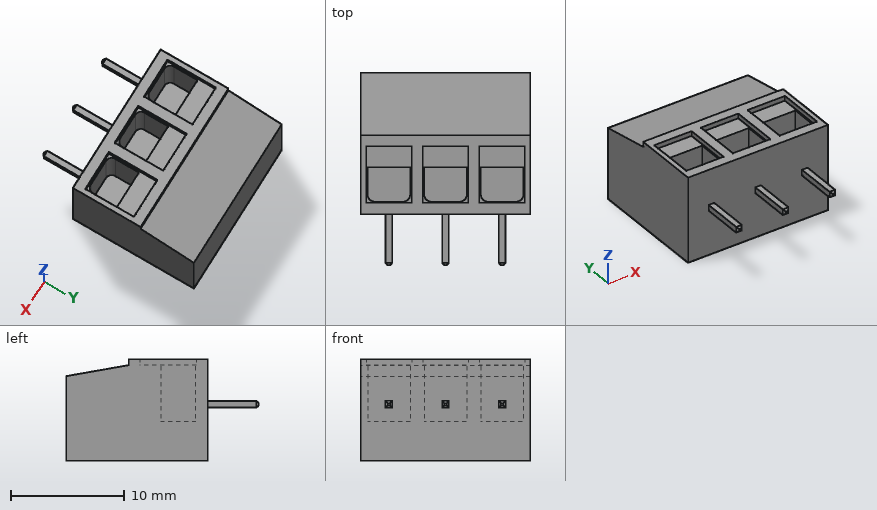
import cadquery as cq
import math

POLES = 3
PITCH = 5.0
BODY_WIDTH = POLES * PITCH
BODY_DEPTH = 12.5
BODY_HEIGHT = 9.0
TERRACE_DEPTH = 7.0
REAR_HEIGHT = 7.5
SLOPE_ANGLE = 10.0

RECESS_WIDTH = 4.0
RECESS_LENGTH = 5.0
RECESS_DEPTH = 0.5
RECESS_FRONT = (TERRACE_DEPTH - RECESS_LENGTH) / 2

OPENING_WIDTH = 3.75
OPENING_LENGTH = 3.05
OPENING_DEPTH = 5.0
OPENING_GAP = (RECESS_WIDTH - OPENING_WIDTH) / 2
OPENING_RADIUS = 0.6

PIN_SIZE = 0.6
PIN_LENGTH = 4.5
PIN_HEIGHT = 5.0
PIN_TIP = 0.2

pole_centers = [(i + 0.5) * PITCH for i in range(POLES)]


def make_housing():
    slope_run = BODY_DEPTH - TERRACE_DEPTH
    slope_top = REAR_HEIGHT + slope_run * math.tan(math.radians(SLOPE_ANGLE))
    side_profile = [
        (0, 0),
        (BODY_DEPTH, 0),
        (BODY_DEPTH, REAR_HEIGHT),
        (TERRACE_DEPTH, slope_top),
        (TERRACE_DEPTH, BODY_HEIGHT),
        (0, BODY_HEIGHT),
    ]
    return cq.Workplane("YZ").polyline(side_profile).close().extrude(BODY_WIDTH)


def pocket(x_center, y_front, z_top, width, length, depth):
    """Box reaching down from z_top, centred on x_center and starting at y_front."""
    block = cq.Workplane("XY").box(width, length, depth, centered=(True, False, False))
    return block.translate((x_center, y_front, z_top - depth))


def make_wire_entry(x_center):
    recess = pocket(x_center, RECESS_FRONT, BODY_HEIGHT, RECESS_WIDTH, RECESS_LENGTH, RECESS_DEPTH)
    opening = pocket(
        x_center,
        RECESS_FRONT + OPENING_GAP,
        BODY_HEIGHT - RECESS_DEPTH,
        OPENING_WIDTH,
        OPENING_LENGTH,
        OPENING_DEPTH,
    )
    opening = opening.faces("<Y").edges("|Z").fillet(OPENING_RADIUS)
    return recess.union(opening)


def make_pin(x_center):
    pin = cq.Workplane("XZ").rect(PIN_SIZE, PIN_SIZE).extrude(PIN_LENGTH)
    pin = pin.faces("<Y").chamfer(PIN_TIP)
    return pin.translate((x_center, 0, PIN_HEIGHT))


result = make_housing()
for x_center in pole_centers:
    result = result.cut(make_wire_entry(x_center))
    result = result.union(make_pin(x_center))